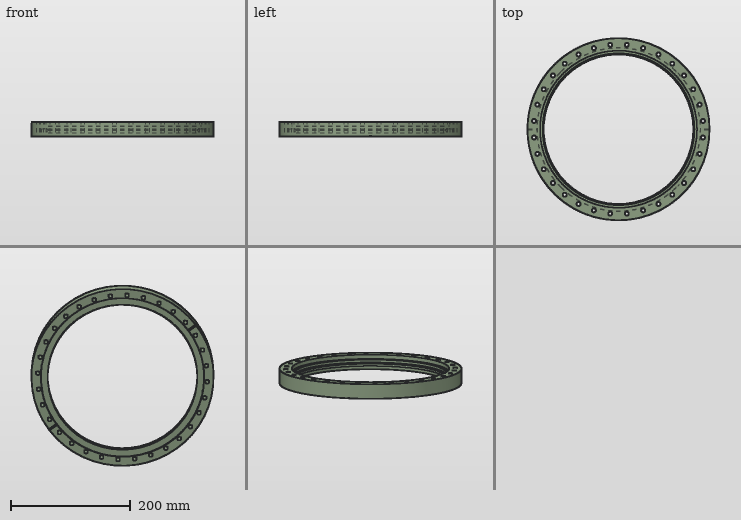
import cadquery as cq

ring_diameter = 305.0
ring_height = 25.0
rim_chamfer = 0.3
lip_bore_diameter = 263.0
recess_diameter = 274.0
shoulder_height = 13.5

bolt_count = 32
bolt_circle_diameter = 283.5
bolt_hole_diameter = 6.5

leak_groove_radius = 1.2

insert_flange_diameter = 273.0
insert_bottom = leak_groove_radius
insert_top = 18.0
insert_bore_radius = 125.0
upper_bore_radius = 126.5
step_height = 12.8
mouth_chamfer = 0.5

relief_height = 8.8
relief_section_radius = 1.8


def revolve_profile(points):
    """Revolve a closed (radius, height) outline about the Z axis."""
    return cq.Workplane("XZ").polyline(points).close().revolve(360, (0, 0), (0, 1))


def make_bolt_ring():
    outer_radius = ring_diameter / 2
    lip_radius = lip_bore_diameter / 2
    recess_radius = recess_diameter / 2
    ring = revolve_profile([
        (recess_radius, 0),
        (outer_radius, 0),
        (outer_radius, ring_height - rim_chamfer),
        (outer_radius - rim_chamfer, ring_height),
        (lip_radius, ring_height),
        (lip_radius, shoulder_height),
        (recess_radius, shoulder_height),
    ])

    half_pitch = 360 / bolt_count / 2
    bolt_holes = (
        cq.Workplane("XY")
        .polarArray(bolt_circle_diameter / 2, half_pitch, 360, bolt_count)
        .circle(bolt_hole_diameter / 2)
        .extrude(ring_height)
    )

    leak_groove = cq.Workplane("YZ").circle(leak_groove_radius).extrude(outer_radius, both=True)
    return ring.cut(bolt_holes).cut(leak_groove)


def make_insert():
    flange_radius = insert_flange_diameter / 2
    neck_radius = lip_bore_diameter / 2
    insert_body = revolve_profile([
        (insert_bore_radius, insert_bottom),
        (flange_radius, insert_bottom),
        (flange_radius, shoulder_height),
        (neck_radius, shoulder_height),
        (neck_radius, insert_top),
        (upper_bore_radius + mouth_chamfer, insert_top),
        (upper_bore_radius, insert_top - mouth_chamfer),
        (upper_bore_radius, step_height),
        (insert_bore_radius, step_height),
    ])

    relief = (
        cq.Workplane("XZ")
        .center(insert_bore_radius, relief_height)
        .circle(relief_section_radius)
        .revolve(360, (-insert_bore_radius, 0), (-insert_bore_radius, 1))
    )
    return insert_body.cut(relief)


bolt_ring = make_bolt_ring()
insert = make_insert()

result = cq.Compound.makeCompound([bolt_ring.val(), insert.val()])